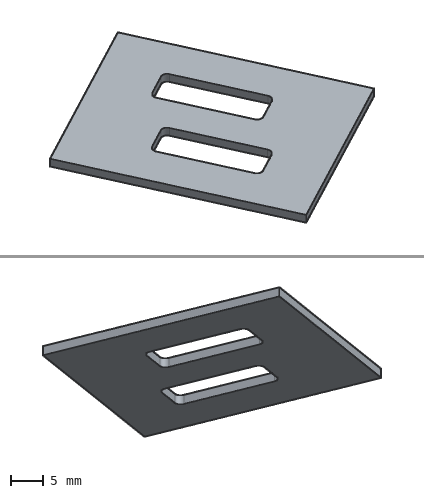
import cadquery as cq

plate_length = 41.7
plate_width = 32.2
plate_thickness = 1.6

window_length = 18.0
window_width = 6.0
corner_radius = 1.0
window_offset_x = 2.1
window_offset_y = 6.15
window_centers = [
    (-window_offset_x, window_offset_y),
    (window_offset_x, -window_offset_y),
]

plate = cq.Workplane("XY").box(plate_length, plate_width, plate_thickness)

windows = (
    cq.Workplane("XY")
    .pushPoints(window_centers)
    .box(window_length, window_width, plate_thickness)
    .edges("|Z")
    .fillet(corner_radius)
)

result = plate.cut(windows)